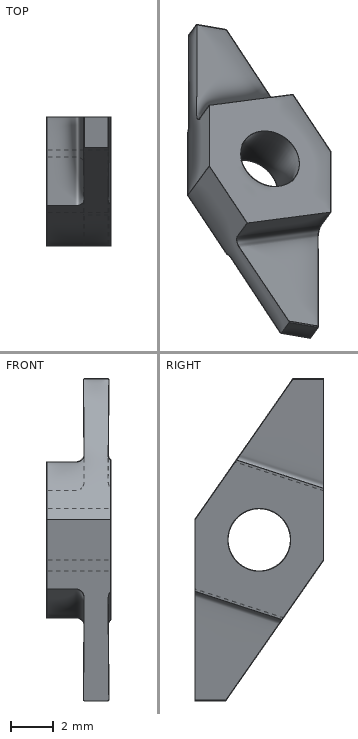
import cadquery as cq
import math

thickness = 3.0
width = 6.0
length = 15.0
hole_diameter = 2.9

tip_width = 1.43
flank_corner_height = 0.94

hub_half_length = 3.1
shoulder_angle = 18.0
fillet_radius = 0.4

tip_thickness = 1.2
wing_back_depth = 0.09
wing_front_depth = thickness - tip_thickness - wing_back_depth
wing_taper_angle = 0.5
tip_bevel = 0.05

front_x = -thickness / 2
back_x = thickness / 2
half_width = width / 2
half_length = length / 2
cut_margin = 1.0

shoulder_radians = math.radians(shoulder_angle)
corner_reach = half_length * math.cos(shoulder_radians) + half_width * math.sin(shoulder_radians)
cut_end = corner_reach + cut_margin
cut_half_width = length


def make_blank():
    """Six-sided plate, symmetric under a half turn about X."""
    tip_inner_y = half_width - tip_width
    return (
        cq.Workplane("YZ", origin=(front_x, 0, 0))
        .polyline([
            (half_width, half_length),
            (tip_inner_y, half_length),
            (-half_width, flank_corner_height),
            (-half_width, -half_length),
            (-tip_inner_y, -half_length),
            (half_width, -flank_corner_height),
        ])
        .close()
        .extrude(thickness)
    )


def make_relief(face_x, depth, inward):
    """Cutter for one face of the upper wing, with a rounded inner corner.

    face_x is the hub face, depth the relief at the tip corner and inward the
    sign of the X direction into the material. Drawn in XZ with level shoulder.
    """
    taper = math.radians(wing_taper_angle)

    def floor_x(height):
        return face_x + inward * (depth + (corner_reach - height) * math.tan(taper))

    centre_z = hub_half_length + fillet_radius
    centre_x = floor_x(centre_z) - inward * fillet_radius / math.cos(taper)

    def on_fillet(angle):
        return (
            centre_x + inward * fillet_radius * math.cos(angle),
            centre_z + fillet_radius * math.sin(angle),
        )

    floor_tangent_angle = taper
    shoulder_tangent_angle = -math.pi / 2
    outside_x = face_x - inward * cut_margin

    if (centre_x - face_x) * inward > 0:
        start_angle = shoulder_tangent_angle
        outer_start = (outside_x, hub_half_length)
    else:
        start_angle = -math.acos((face_x - centre_x) * inward / fillet_radius)
        outer_start = (outside_x, on_fillet(start_angle)[1])

    middle_angle = (start_angle + floor_tangent_angle) / 2
    return (
        cq.Workplane("XZ")
        .moveTo(*outer_start)
        .lineTo(*on_fillet(start_angle))
        .threePointArc(on_fillet(middle_angle), on_fillet(floor_tangent_angle))
        .lineTo(floor_x(cut_end), cut_end)
        .lineTo(outside_x, cut_end)
        .close()
        .extrude(cut_half_width, both=True)
        .rotate((0, 0, 0), (1, 0, 0), -shoulder_angle)
    )


def half_turn(shape):
    return shape.rotate((0, 0, 0), (1, 0, 0), 180)


def cut_wings(body):
    front_relief = make_relief(front_x, wing_front_depth, 1)
    back_relief = make_relief(back_x, wing_back_depth, -1)
    for relief in (front_relief, back_relief):
        body = body.cut(relief).cut(half_turn(relief))
    return body


def bevel_tips(body):
    """Break the front and back edges of both wing tips."""
    tip_edges = body.faces("<Z or >Z").edges("not |X")
    return tip_edges.chamfer(tip_bevel)


def drill_hole(body):
    hole = (
        cq.Workplane("YZ", origin=(front_x, 0, 0))
        .circle(hole_diameter / 2)
        .extrude(thickness)
    )
    return body.cut(hole)


result = drill_hole(bevel_tips(cut_wings(make_blank())))